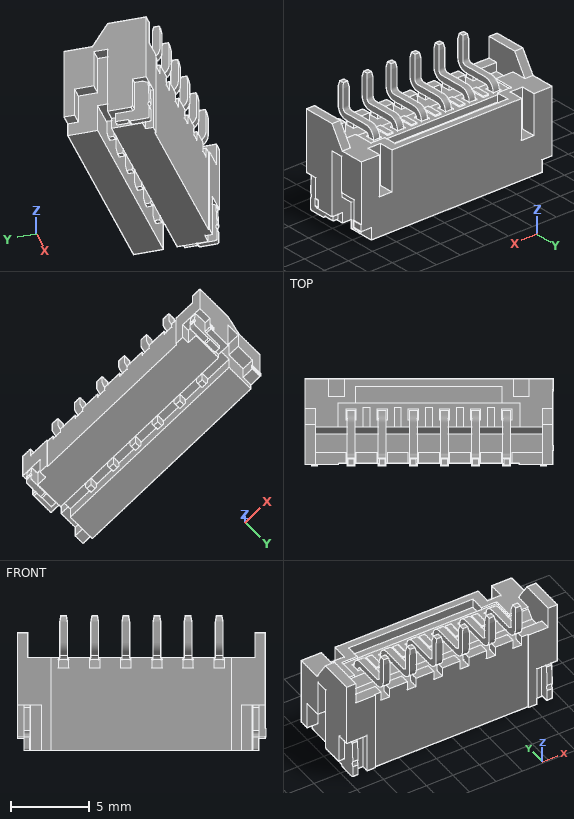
import cadquery as cq
import math


body_length = 15.9
body_depth = 5.52
body_height = 5.98
half_length = body_length / 2

ear_width = 0.69
ear_height = 7.56
ear_slope_top_y = 2.58
ear_slope_foot_y = 3.6

panel_width = 11.58
panel_recess = 0.08

front_wall = 0.77
valley_floor_z = 5.31
slope_foot_y = 1.96
deck_front_y = 2.42
deck_back_y = 3.95
deck_width = 11.68
deck_z = 5.84

pocket_width = 9.38
pocket_back_y = 5.0
pocket_floor_z = 5.31
notch_width = 1.02
notch_center_x = 5.92
notch_depth = 1.15
notch_floor_z = 2.92

end_recess = 0.83
channel_front_y = 2.58
channel_back_y = 3.51
channel_top_z = 5.57
shoulder_z = 2.92
rear_foot_y = 4.8
rear_foot_z = 0.91
opening_height = 1.91

clip_inset = 0.41
clip_width = 0.4
clip_gap = 0.05
clip_leg_depth = 0.91
clip_foot_back_y = 2.2
clip_foot_z = 0.15
clip_step_y = 1.21
clip_bulge = 0.08
clip_heel_radius = 0.13
clip_dent_z = 1.08
clip_dent_height = 0.41
clip_dent_arc_height = 0.22
clip_dent_arc_y = -0.03
clip_crest_z = 2.76
clip_crest_y = 0.38
seat_height = 0.77
seat_chamfer = 0.11
side_pocket_width = 1.55
side_pocket_depth = 0.51

pin_count = 6
pin_pitch = 2.0
pin_size = 0.51
pin_front_y = -0.08
pin_back_y = 3.48
pin_top_z = 8.65
pin_bottom_z = 0.72
pin_bend_radius = 0.29
pin_arm_bottom_z = 6.1
pin_tip_length = 0.4
pin_tip_inset = 0.072
pin_slot_width = 0.65
pin_hole_front_y = 2.85
pin_hole_back_y = 3.57

rib_width = 0.45
rib_back_y = 3.65
rib_top_z = 5.93

pad_thickness = 0.05
pad_bottom_z = seat_height + seat_chamfer
pad_top_z = 1.42
front_pad_width = 0.32
rear_pad_width = 0.8
pad_spans_y = [
    (clip_leg_depth, clip_leg_depth + front_pad_width),
    (body_depth - rear_pad_width, body_depth),
]


def block(x_range, y_range, z_range):
    """Box between the given pairs of limits."""
    (x0, x1), (y0, y1), (z0, z1) = x_range, y_range, z_range
    return cq.Workplane("XY").box(x1 - x0, y1 - y0, z1 - z0, centered=False).translate((x0, y0, z0))


def across(width):
    """X limits of a feature centred on the housing."""
    return (-width / 2, width / 2)


def prism(yz_points, x_range):
    """Outline in the YZ plane, swept between two X limits."""
    x0, x1 = x_range
    return cq.Workplane("YZ").polyline(yz_points).close().extrude(x1 - x0).translate((x0, 0, 0))


def both_ends(left_shape):
    """A feature of the -X end together with its mirror image."""
    return left_shape.union(left_shape.mirror("YZ"))


def from_left_end(start, end):
    """X limits given as distances from the -X end face."""
    return (-half_length + start, -half_length + end)


def make_shell():
    body = block(across(body_length), (0, body_depth), (0, body_height))
    ear = prism(
        [
            (0, body_height),
            (0, ear_height),
            (ear_slope_top_y, ear_height),
            (ear_slope_foot_y, body_height),
        ],
        from_left_end(0, ear_width),
    )
    panel = block(across(panel_width), (0, panel_recess), (0, body_height))
    return body.union(both_ends(ear)).cut(panel)


def top_cutouts():
    valley = prism(
        [
            (front_wall, body_height),
            (front_wall, valley_floor_z),
            (slope_foot_y, valley_floor_z),
            (deck_front_y, deck_z),
            (deck_front_y, body_height),
        ],
        across(body_length - 2 * ear_width),
    )
    deck = block(across(deck_width), (deck_front_y, deck_back_y), (deck_z, body_height))
    pocket = block(across(pocket_width), (deck_back_y, pocket_back_y), (pocket_floor_z, body_height))
    notch = block(
        (-notch_center_x - notch_width / 2, -notch_center_x + notch_width / 2),
        (body_depth - notch_depth, body_depth),
        (notch_floor_z, body_height),
    )
    return valley.union(deck).union(pocket).union(both_ends(notch))


def end_cutouts():
    rear_recess = prism(
        [
            (channel_front_y, 0),
            (channel_front_y, channel_top_z),
            (channel_back_y, channel_top_z),
            (channel_back_y, shoulder_z),
            (rear_foot_y, shoulder_z),
            (rear_foot_y, rear_foot_z),
            (body_depth, rear_foot_z),
            (body_depth, 0),
        ],
        from_left_end(0, end_recess),
    )
    clip_seat = prism(
        [
            (0, 0),
            (0, shoulder_z),
            (clip_leg_depth, shoulder_z),
            (clip_leg_depth, seat_height + seat_chamfer),
            (clip_leg_depth + seat_chamfer, seat_height),
            (channel_front_y, seat_height),
            (channel_front_y, 0),
        ],
        from_left_end(0, clip_inset + clip_width + clip_gap),
    )
    side_pocket = block(from_left_end(0, side_pocket_width), (0, side_pocket_depth), (0, shoulder_z))
    return both_ends(rear_recess.union(clip_seat).union(side_pocket))


def through_opening():
    return block(across(body_length), (channel_front_y, channel_back_y), (0, opening_height))


def make_clip():
    """L-shaped clip: upright leg with a dented, bulging front and a foot running back."""
    heel_end_y = clip_heel_radius - clip_bulge
    step_back_y = clip_step_y + clip_foot_z
    heel_sag = clip_heel_radius * (1 - math.sqrt(0.5))
    dent_half = clip_dent_height / 2
    arc_half = clip_dent_arc_height / 2
    return (
        cq.Workplane("YZ")
        .moveTo(clip_leg_depth, shoulder_z)
        .lineTo(clip_crest_y, shoulder_z)
        .lineTo(0, clip_crest_z)
        .lineTo(-clip_bulge, clip_dent_z + dent_half)
        .lineTo(clip_dent_arc_y, clip_dent_z + arc_half)
        .threePointArc((0, clip_dent_z), (clip_dent_arc_y, clip_dent_z - arc_half))
        .lineTo(-clip_bulge, clip_dent_z - dent_half)
        .lineTo(-clip_bulge, clip_heel_radius)
        .threePointArc((-clip_bulge + heel_sag, heel_sag), (heel_end_y, 0))
        .lineTo(clip_step_y, 0)
        .lineTo(step_back_y, clip_foot_z)
        .lineTo(clip_foot_back_y, clip_foot_z)
        .lineTo(clip_foot_back_y, seat_height)
        .lineTo(clip_leg_depth + seat_chamfer, seat_height)
        .lineTo(clip_leg_depth, seat_height + seat_chamfer)
        .close()
        .extrude(clip_width)
        .translate((-half_length + clip_inset, 0, 0))
    )


def make_pin():
    """Square pin bent twice: up at the front, back over the valley, down through the deck."""
    front_inner_y = pin_front_y + pin_size
    back_inner_y = pin_back_y - pin_size
    arm_top_z = pin_arm_bottom_z + pin_size
    upper_shoulder_z = pin_top_z - pin_tip_length
    lower_shoulder_z = pin_bottom_z + pin_tip_length
    outer_radius = pin_bend_radius + pin_size
    tip_taper = math.degrees(math.atan(pin_tip_inset / pin_tip_length))

    upright = block(across(pin_size), (pin_front_y, front_inner_y), (pin_arm_bottom_z, upper_shoulder_z))
    arm = block(across(pin_size), (pin_front_y, pin_back_y), (pin_arm_bottom_z, arm_top_z))
    tail = block(across(pin_size), (back_inner_y, pin_back_y), (lower_shoulder_z, arm_top_z))
    pin = upright.union(arm).union(tail)

    def bend(shape, y, z, radius):
        """Round the corner that runs along X at the given Y and Z."""
        corner = cq.selectors.NearestToPointSelector((0, y, z))
        return shape.edges("|X").edges(corner).fillet(radius)

    pin = bend(pin, front_inner_y, arm_top_z, pin_bend_radius)
    pin = bend(pin, pin_front_y, pin_arm_bottom_z, outer_radius)
    pin = bend(pin, back_inner_y, pin_arm_bottom_z, pin_bend_radius)
    pin = bend(pin, pin_back_y, arm_top_z, outer_radius)

    tip = cq.Workplane("XY").rect(pin_size, pin_size).extrude(pin_tip_length, taper=tip_taper)
    upper_tip = tip.translate((0, pin_front_y + pin_size / 2, upper_shoulder_z))
    lower_tip = tip.mirror("XY").translate((0, pin_back_y - pin_size / 2, lower_shoulder_z))
    return pin.union(upper_tip).union(lower_tip)


def pin_clearance():
    """Slot through the front wall and hole in the deck around one pin."""
    slot = block(across(pin_slot_width), (0, front_wall), (valley_floor_z, body_height))
    hole = block(across(pin_slot_width), (pin_hole_front_y, pin_hole_back_y), (valley_floor_z, body_height))
    return slot.union(hole)


def make_rib():
    return block(across(rib_width), (deck_front_y, rib_back_y), (deck_z, rib_top_z))


def row(shape, count):
    """Copies of a shape along X at the pin pitch, centred on the housing."""
    first_x = -pin_pitch * (count - 1) / 2
    copies = cq.Workplane("XY")
    for i in range(count):
        copies = copies.add(shape.translate((first_x + i * pin_pitch, 0, 0)))
    return copies.combine()


housing = make_shell().cut(top_cutouts()).cut(end_cutouts()).cut(through_opening())
housing = housing.cut(row(pin_clearance(), pin_count))
housing = housing.union(row(make_rib(), pin_count - 1))

for pad_start_y, pad_end_y in pad_spans_y:
    pad_x = (half_length, half_length + pad_thickness)
    housing = housing.union(block(pad_x, (pad_start_y, pad_end_y), (pad_bottom_z, pad_top_z)))

result = housing.union(both_ends(make_clip())).union(row(make_pin(), pin_count))